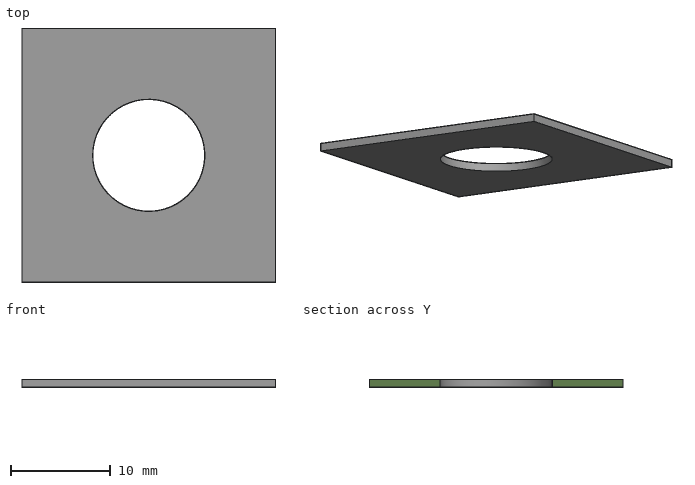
import cadquery as cq

side_length = 25.4
thickness = 0.79
hole_diameter = 11.18


def square_plate():
    """Flat square plate centred on the origin."""
    return cq.Workplane("XY").box(side_length, side_length, thickness)


def with_center_hole(plate):
    """Cut the round hole through the middle of the plate."""
    return plate.faces(">Z").workplane().hole(hole_diameter)


result = with_center_hole(square_plate())